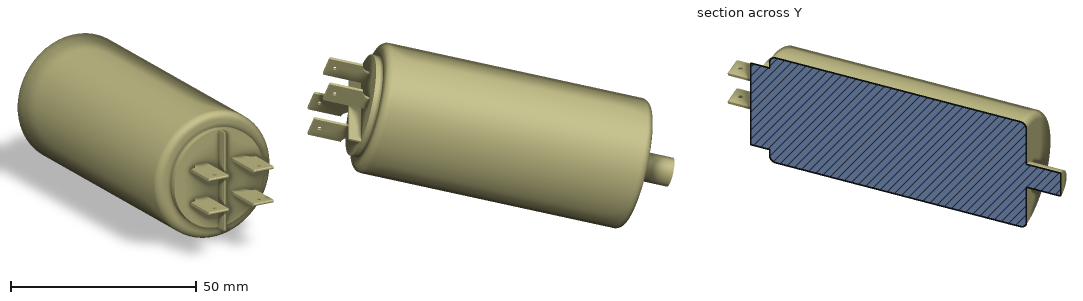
import cadquery as cq

stud_diameter = 8.0
stud_length = 10.0

can_diameter = 36.0
can_length = 75.5
can_edge_radius = 2.0

disc_diameter = 28.0
disc_length = 2.0

wall_thickness = 0.5
wall_length = 3.5
wall_tip_chamfer = 0.2

blade_length = 12.0
blade_width = 6.3
blade_thickness = 0.8
blade_offset_y = 7.0
blade_offset_z = 4.8
blade_tip_chamfer = 0.25
notch_radius = 2.5
notch_depth = 2.3
blade_hole_diameter = 1.2
blade_hole_to_tip = 2.5

can_start = stud_length
can_end = can_start + can_length
disc_end = can_end + disc_length


def cylinder_along_x(diameter, start, length):
    return cq.Workplane("YZ").workplane(offset=start).circle(diameter / 2).extrude(length)


def make_can():
    can = cylinder_along_x(can_diameter, can_start, can_length)
    return can.faces("<X or >X").edges().fillet(can_edge_radius)


def make_wall():
    wall = cq.Workplane("XY").box(
        wall_length, wall_thickness, disc_diameter, centered=(False, True, True)
    )
    wall = wall.faces(">X").edges("|Z").chamfer(wall_tip_chamfer)
    return wall.translate((disc_end, 0, 0))


def make_blade(side_y, side_z):
    """Blade with a drilled, chamfered tip and a round notch at the outer corner of its root."""
    blade = cq.Workplane("XY").box(
        blade_length, blade_width, blade_thickness, centered=(False, True, True)
    )
    blade = blade.faces(">X").edges().chamfer(blade_tip_chamfer)
    hole = (
        cq.Workplane("XY")
        .center(blade_length - blade_hole_to_tip, 0)
        .circle(blade_hole_diameter / 2)
        .extrude(blade_thickness, both=True)
    )
    notch_center_y = blade_width / 2 - notch_depth + notch_radius
    notch = (
        cq.Workplane("XY")
        .center(0, side_y * notch_center_y)
        .circle(notch_radius)
        .extrude(blade_thickness, both=True)
    )
    blade = blade.cut(hole).cut(notch)
    return blade.translate((disc_end, side_y * blade_offset_y, side_z * blade_offset_z))


result = (
    make_can()
    .union(cylinder_along_x(stud_diameter, 0, stud_length))
    .union(cylinder_along_x(disc_diameter, can_end, disc_length))
    .union(make_wall())
)
for side_y in (-1, 1):
    for side_z in (-1, 1):
        result = result.union(make_blade(side_y, side_z))